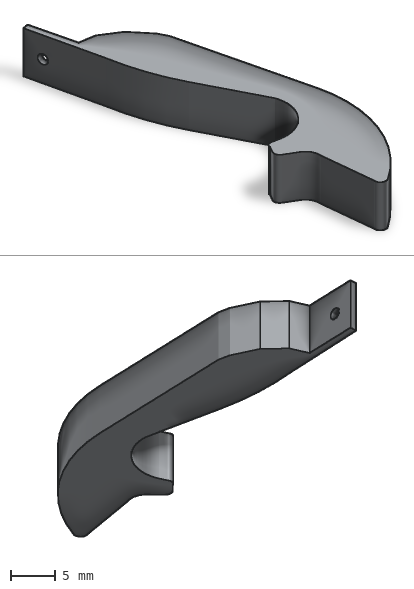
import cadquery as cq
import math

length = 51.35
depth = 13.95
height = 6.5

tab_front_y = 6.4
tab_back_y = 7.3
tab_length = 6.85
hole_diameter = 1.4
hole_x = 2.6

shoulder_corners = [(7.7, 9.6), (10.0, 11.95), (13.25, 13.6)]

back_start_x = 14.75
back_end_x = 34.55
nose_radius = 18.0
nose_end_x = 51.25

sweep_start = (11.15, 6.25)
ramp_start = (21.7, 7.2)

notch_center = (32.1, 4.8)
notch_radius = 4.9
notch_start_angle = 95.0
notch_end_angle = -22.0

hook_corner_start = (36.25, 2.0)
hook_corner_middle = (36.1, 1.65)
hook_corner_end = (36.6, 0.9)
hook_tip_start = (37.3, 0.25)
hook_tip_x = 37.95
hook_tip_end = (38.55, 0.25)
hook_root_start = (40.1, 2.0)
hook_root_middle = (40.85, 2.45)
hook_root_end = (42.4, 2.5)
nose_tip_start = (50.2, 1.45)
nose_tip_y = 2.25


def on_circle(center, radius, degrees):
    """Point on a circle at an angle measured from +X."""
    angle = math.radians(degrees)
    return (center[0] + radius * math.cos(angle), center[1] + radius * math.sin(angle))


nose_center = (back_end_x, depth - nose_radius)
nose_end_angle = math.degrees(math.acos((nose_end_x - back_end_x) / nose_radius))
nose_middle = on_circle(nose_center, nose_radius, (nose_end_angle + 90) / 2)
nose_end = on_circle(nose_center, nose_radius, nose_end_angle)

notch_start = on_circle(notch_center, notch_radius, notch_start_angle)
notch_middle = on_circle(notch_center, notch_radius, (notch_start_angle + notch_end_angle) / 2)
notch_end = on_circle(notch_center, notch_radius, notch_end_angle)


def make_body():
    """Lever outline, walked from the tab along the back edge and round to the front."""
    outline = (
        cq.Workplane("XY")
        .moveTo(0, tab_front_y)
        .lineTo(0, tab_back_y)
        .lineTo(tab_length, tab_back_y)
        .polyline(shoulder_corners, includeCurrent=True)
        .lineTo(back_start_x, depth)
        .lineTo(back_end_x, depth)
        .threePointArc(nose_middle, nose_end)
        .threePointArc((length, nose_tip_y), nose_tip_start)
        .lineTo(*hook_root_end)
        .threePointArc(hook_root_middle, hook_root_start)
        .lineTo(*hook_tip_end)
        .threePointArc((hook_tip_x, 0), hook_tip_start)
        .lineTo(*hook_corner_end)
        .threePointArc(hook_corner_middle, hook_corner_start)
        .lineTo(*notch_end)
        .threePointArc(notch_middle, notch_start)
        .lineTo(*ramp_start)
        .tangentArcPoint(sweep_start, relative=False)
        .close()
    )
    return outline.extrude(height)


def make_tab_hole():
    """Cylinder through the tab along Y."""
    return (
        cq.Workplane("XZ", origin=(hole_x, tab_back_y, height / 2))
        .circle(hole_diameter / 2)
        .extrude(tab_back_y - sweep_start[1])
    )


result = make_body().cut(make_tab_hole())